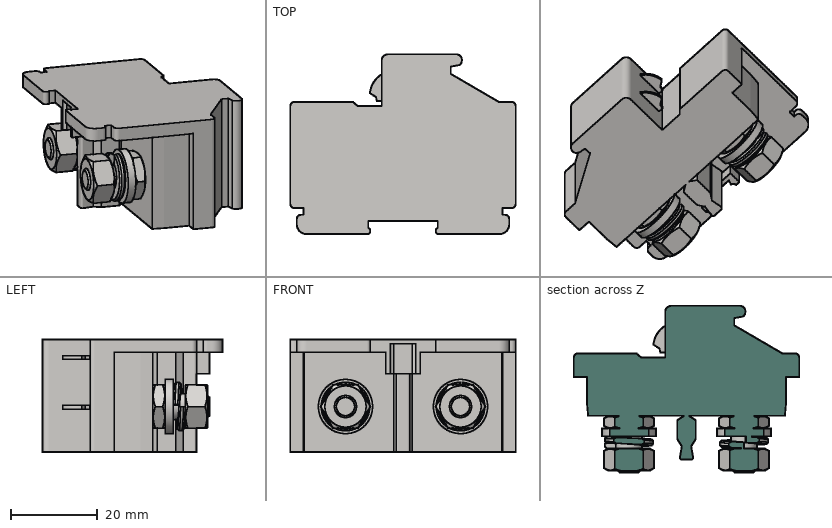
import cadquery as cq
import math


WIDTH = 52.0
DEPTH = 41.5
HEIGHT = 26.0
HALF_WIDTH = WIDTH / 2

COVER_THICKNESS = 3.0
COVER_BOTTOM = HEIGHT - COVER_THICKNESS
SHOULDER_Y = 30.5
SHOULDER_FRONT_Y = 6.0
SHOULDER_RADIUS = 1.0
LEDGE_Y = 29.6
LEDGE_X = -10.5
LEDGE_SLOPE_X = -11.5
TOWER_X = -4.95
TOWER_RADIUS = 1.5
HOOK_ROOT_X = 11.05
HOOK_ROOT_Y = 38.6
HOOK_TIP_X = 13.6
HOOK_TIP_Y = 40.0
HOOK_END = (12.95, 38.95)
HOOK_FLAT_END_X = 12.15
RAMP_TOP_Y = 36.95
RAMP_END_X = 22.1

NECK_X = 22.95
FOOT_X = 24.5
FOOT_BACK_Y = 4.5
FOOT_BACK_RADIUS = 1.0
FOOT_FRONT_RADIUS = 2.3
GAP_HALF_WIDTH = 8.0
GAP_DEPTH = 3.0
BEAD_TIP_X = 7.5
BEAD_RADIUS = 0.75

STEP_Y = 25.0
FRONT_WALL_Y = 16.1
DRAFT_START_Y = 18.9
DRAFT_INSET = 0.25

RIB_ROOT_X = 0.6
RIB_BODY_X = 2.15
RIB_NECK_X = 1.1
RIB_HEAD_X = 1.55
RIB_HEAD_RADIUS = 0.5
RIB_BODY_BACK_Y = 15.1
RIB_BODY_FRONT_Y = 10.75
RIB_NECK_Y = 9.1

CLIP_WIDTH = 8.0
CLIP_BOTTOM = 18.0
CLIP_SLOT_BACK_WIDTH = 5.0
CLIP_SLOT_NECK_WIDTH = 4.25
CLIP_SLOT_TOP = 25.0
CLIP_SLOT_BACK_Y = 5.0
CLIP_LIP_RADIUS = 0.8

TAB_THICKNESS = 0.9
TAB_BOTTOMS = (9.9, 21.35)
TAB_TOP_Y = 36.85
TAB_TIP = (-7.65, 32.5)
TAB_BULGE = (-6.8, 35.0)
TAB_HEEL_KNEE = (-6.25, 31.6)
TAB_HEEL_X = -6.05
TAB_BOTTOM_Y = 30.65

TERMINAL_X = 13.25
TERMINAL_Z = 10.5
SHANK_DIAMETER = 6.0
SHANK_CHAMFER = 0.9
SHANK_END_Y = 3.0
HEX_FLATS = 10.0
HEX_FACE_DIAMETER = 9.5
HEX_CHAMFER_ANGLE = math.radians(30)
WASHER_DIAMETER = 12.5
WASHER_HOLE = 6.6
WASHER_BACK_Y = 13.2
WASHER_FRONT_Y = 11.35
NUT_BACK_Y = 8.6
NUT_FRONT_Y = 3.45
COIL_OUTER_RADIUS = 5.6
COIL_INNER_RADIUS = 2.85
COIL_THICKNESS = 1.45
COIL_EDGE = 0.4
COIL_TURN = 0.985
LEFT_SPLIT_ANGLE = 0
RIGHT_SPLIT_ANGLE = 90

OVERLAP = 0.5


def outline():
    """Shared outline of the cover and, behind the step, of the housing."""
    r = SHOULDER_RADIUS
    bead_center_x = BEAD_TIP_X + BEAD_RADIUS
    bead_offset = bead_center_x - GAP_HALF_WIDTH
    bead_end_y = BEAD_RADIUS + math.sqrt(BEAD_RADIUS**2 - bead_offset**2)
    foot_front_x = FOOT_X - FOOT_FRONT_RADIUS
    foot_back_x = FOOT_X - FOOT_BACK_RADIUS
    foot_side_y = FOOT_BACK_Y - FOOT_BACK_RADIUS
    return (
        cq.Workplane("XY")
        .moveTo(-HALF_WIDTH + r, SHOULDER_Y)
        .lineTo(LEDGE_SLOPE_X, SHOULDER_Y)
        .lineTo(LEDGE_X, LEDGE_Y)
        .lineTo(TOWER_X, LEDGE_Y)
        .lineTo(TOWER_X, DEPTH - TOWER_RADIUS)
        .radiusArc((TOWER_X + TOWER_RADIUS, DEPTH), TOWER_RADIUS)
        .lineTo(HOOK_FLAT_END_X, DEPTH)
        .threePointArc((HOOK_TIP_X, HOOK_TIP_Y), HOOK_END)
        .lineTo(HOOK_ROOT_X, HOOK_ROOT_Y)
        .lineTo(HOOK_ROOT_X, RAMP_TOP_Y)
        .lineTo(RAMP_END_X, SHOULDER_Y)
        .lineTo(HALF_WIDTH - r, SHOULDER_Y)
        .radiusArc((HALF_WIDTH, SHOULDER_Y - r), r)
        .lineTo(HALF_WIDTH, SHOULDER_FRONT_Y + r)
        .radiusArc((HALF_WIDTH - r, SHOULDER_FRONT_Y), r)
        .lineTo(NECK_X, SHOULDER_FRONT_Y)
        .lineTo(NECK_X, FOOT_BACK_Y)
        .lineTo(foot_back_x, FOOT_BACK_Y)
        .radiusArc((FOOT_X, foot_side_y), FOOT_BACK_RADIUS)
        .lineTo(FOOT_X, FOOT_FRONT_RADIUS)
        .radiusArc((foot_front_x, 0), FOOT_FRONT_RADIUS)
        .lineTo(bead_center_x, 0)
        .threePointArc((BEAD_TIP_X, BEAD_RADIUS), (GAP_HALF_WIDTH, bead_end_y))
        .lineTo(GAP_HALF_WIDTH, GAP_DEPTH)
        .lineTo(-GAP_HALF_WIDTH, GAP_DEPTH)
        .lineTo(-GAP_HALF_WIDTH, bead_end_y)
        .threePointArc((-BEAD_TIP_X, BEAD_RADIUS), (-bead_center_x, 0))
        .lineTo(-foot_front_x, 0)
        .radiusArc((-FOOT_X, FOOT_FRONT_RADIUS), FOOT_FRONT_RADIUS)
        .lineTo(-FOOT_X, foot_side_y)
        .radiusArc((-foot_back_x, FOOT_BACK_Y), FOOT_BACK_RADIUS)
        .lineTo(-NECK_X, FOOT_BACK_Y)
        .lineTo(-NECK_X, SHOULDER_FRONT_Y)
        .lineTo(-HALF_WIDTH + r, SHOULDER_FRONT_Y)
        .radiusArc((-HALF_WIDTH, SHOULDER_FRONT_Y + r), r)
        .lineTo(-HALF_WIDTH, SHOULDER_Y - r)
        .radiusArc((-HALF_WIDTH + r, SHOULDER_Y), r)
        .close()
    )


def make_set_in_front():
    """Front part of the housing between the side steps, drafted near its front wall."""
    front_x = NECK_X - DRAFT_INSET
    return (
        cq.Workplane("XY")
        .polyline(
            [
                (NECK_X, STEP_Y + OVERLAP),
                (NECK_X, DRAFT_START_Y),
                (front_x, FRONT_WALL_Y),
                (-front_x, FRONT_WALL_Y),
                (-NECK_X, DRAFT_START_Y),
                (-NECK_X, STEP_Y + OVERLAP),
            ]
        )
        .close()
        .extrude(HEIGHT - OVERLAP)
    )


def make_rib():
    """Central rib: tapered root, thick body, narrow neck and rounded head."""
    head_front_x = RIB_HEAD_X - RIB_HEAD_RADIUS
    head_side_y = SHOULDER_FRONT_Y + RIB_HEAD_RADIUS
    half_rib = (
        cq.Workplane("XY")
        .moveTo(0, FRONT_WALL_Y + OVERLAP)
        .lineTo(RIB_ROOT_X, FRONT_WALL_Y + OVERLAP)
        .lineTo(RIB_ROOT_X, FRONT_WALL_Y)
        .lineTo(RIB_BODY_X, RIB_BODY_BACK_Y)
        .lineTo(RIB_BODY_X, RIB_BODY_FRONT_Y)
        .lineTo(RIB_NECK_X, RIB_NECK_Y)
        .lineTo(RIB_HEAD_X, head_side_y)
        .radiusArc((head_front_x, SHOULDER_FRONT_Y), RIB_HEAD_RADIUS)
        .lineTo(0, SHOULDER_FRONT_Y)
        .close()
        .extrude(HEIGHT - OVERLAP)
    )
    return half_rib.union(half_rib.mirror("YZ"))


def make_housing():
    """Cover, full outline behind the step, set-in front and central rib."""
    front_zone = (
        cq.Workplane("XY")
        .rect(WIDTH, 2 * STEP_Y)
        .extrude(COVER_BOTTOM)
    )
    body = outline().extrude(HEIGHT).cut(front_zone)
    return body.union(make_set_in_front()).union(make_rib())


def add_clip(body):
    """Block below the cover with a round-lipped dovetail slot open to the front and below."""
    block = (
        cq.Workplane("XY", origin=(0, 0, CLIP_BOTTOM))
        .moveTo(-CLIP_WIDTH / 2, GAP_DEPTH)
        .lineTo(CLIP_WIDTH / 2, GAP_DEPTH)
        .lineTo(CLIP_WIDTH / 2, SHOULDER_FRONT_Y)
        .lineTo(-CLIP_WIDTH / 2, SHOULDER_FRONT_Y)
        .close()
        .extrude(HEIGHT - OVERLAP - CLIP_BOTTOM)
    )
    half_back = CLIP_SLOT_BACK_WIDTH / 2
    half_neck = CLIP_SLOT_NECK_WIDTH / 2
    half_mouth = half_neck + CLIP_LIP_RADIUS
    lip_end_y = GAP_DEPTH + CLIP_LIP_RADIUS
    slot = (
        cq.Workplane("XY", origin=(0, 0, CLIP_BOTTOM))
        .moveTo(-half_mouth, GAP_DEPTH)
        .radiusArc((-half_neck, lip_end_y), CLIP_LIP_RADIUS)
        .lineTo(-half_back, CLIP_SLOT_BACK_Y)
        .lineTo(half_back, CLIP_SLOT_BACK_Y)
        .lineTo(half_neck, lip_end_y)
        .radiusArc((half_mouth, GAP_DEPTH), CLIP_LIP_RADIUS)
        .close()
        .extrude(CLIP_SLOT_TOP - CLIP_BOTTOM)
    )
    return body.union(block).cut(slot)


def make_tab(bottom):
    """Thin curved tab standing out of the tower's left side."""
    root_x = TOWER_X + OVERLAP
    return (
        cq.Workplane("XY", origin=(0, 0, bottom))
        .moveTo(root_x, TAB_TOP_Y)
        .lineTo(TOWER_X, TAB_TOP_Y)
        .threePointArc(TAB_BULGE, TAB_TIP)
        .lineTo(*TAB_HEEL_KNEE)
        .lineTo(TAB_HEEL_X, TAB_BOTTOM_Y)
        .lineTo(root_x, TAB_BOTTOM_Y)
        .close()
        .extrude(TAB_THICKNESS)
    )


def terminal_plane(x, y):
    """Plane across the terminal axis at depth y; its normal points to the front."""
    return cq.Workplane("XZ", origin=(x, y, TERMINAL_Z))


def make_hex(x, back_y, front_y):
    """Hexagon with flats up and down and its corners turned off at both ends."""
    length = back_y - front_y
    corner_radius = HEX_FLATS / math.sqrt(3)
    face_radius = HEX_FACE_DIAMETER / 2
    blank_radius = corner_radius + OVERLAP
    chamfer = (blank_radius - face_radius) * math.tan(HEX_CHAMFER_ANGLE)
    prism = terminal_plane(x, back_y).polygon(6, 2 * corner_radius).extrude(length)
    turned_blank = (
        cq.Workplane("XY", origin=(x, front_y, TERMINAL_Z))
        .polyline(
            [
                (0, 0),
                (face_radius, 0),
                (blank_radius, chamfer),
                (blank_radius, length - chamfer),
                (face_radius, length),
                (0, length),
            ]
        )
        .close()
        .revolve(360, (0, 0, 0), (0, 1, 0))
    )
    return prism.intersect(turned_blank)


def make_spring_washer(x, split_angle):
    """One split helical turn, from the flat washer forward to the nut.

    split_angle turns the split from the -X side toward +Z, in degrees.
    """
    split_width = 360 * (1 - COIL_TURN)
    rise = WASHER_FRONT_Y - NUT_BACK_Y - COIL_THICKNESS
    mean_radius = (COIL_OUTER_RADIUS + COIL_INNER_RADIUS) / 2
    half_width = (COIL_OUTER_RADIUS - COIL_INNER_RADIUS) / 2
    half_thickness = COIL_THICKNESS / 2
    path = cq.Wire.makeHelix(rise / COIL_TURN, rise, mean_radius, lefthand=True)
    section = [
        (half_width - COIL_EDGE, -half_thickness),
        (half_width, -half_thickness + COIL_EDGE),
        (half_width, half_thickness - COIL_EDGE),
        (half_width - COIL_EDGE, half_thickness),
        (-half_width, half_thickness),
        (-half_width, -half_thickness),
    ]
    coil = (
        cq.Workplane("XZ", origin=(mean_radius, 0, 0))
        .polyline(section)
        .close()
        .sweep(cq.Workplane(path), isFrenet=True)
    )
    return (
        coil
        .rotate((0, 0, 0), (0, 0, 1), 180 - split_angle - split_width)
        .rotate((0, 0, 0), (1, 0, 0), 90)
        .translate((x, WASHER_FRONT_Y - half_thickness, TERMINAL_Z))
    )


def make_terminal(x, split_angle):
    """Shank, inner hexagon, flat washer, spring washer and nut."""
    shank = (
        terminal_plane(x, FRONT_WALL_Y + OVERLAP)
        .circle(SHANK_DIAMETER / 2)
        .extrude(FRONT_WALL_Y + OVERLAP - SHANK_END_Y)
        .faces("<Y")
        .chamfer(SHANK_CHAMFER)
    )
    washer = (
        terminal_plane(x, WASHER_BACK_Y)
        .circle(WASHER_DIAMETER / 2)
        .circle(WASHER_HOLE / 2)
        .extrude(WASHER_BACK_Y - WASHER_FRONT_Y)
    )
    return (
        shank
        .union(make_hex(x, FRONT_WALL_Y, WASHER_BACK_Y))
        .union(washer)
        .union(make_hex(x, NUT_BACK_Y, NUT_FRONT_Y))
        .union(make_spring_washer(x, split_angle))
    )


result = add_clip(make_housing())
for tab_bottom in TAB_BOTTOMS:
    result = result.union(make_tab(tab_bottom))
for terminal_x, split_angle in ((-TERMINAL_X, LEFT_SPLIT_ANGLE), (TERMINAL_X, RIGHT_SPLIT_ANGLE)):
    result = result.union(make_terminal(terminal_x, split_angle))